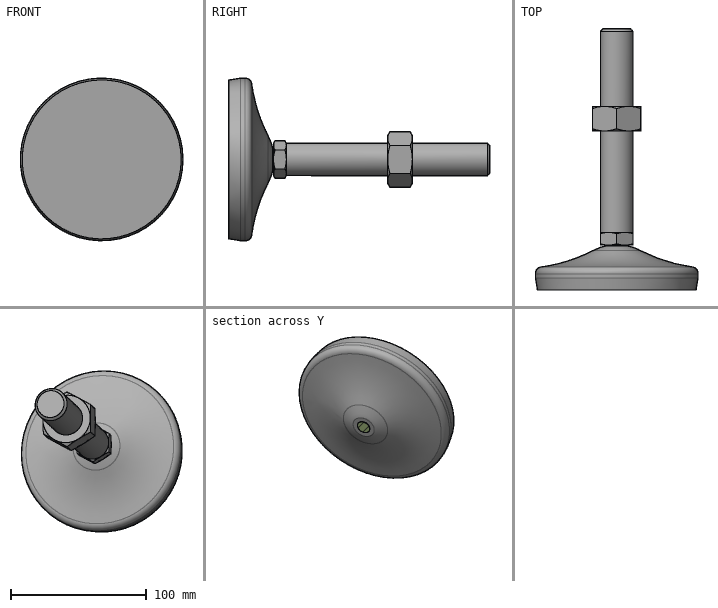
import cadquery as cq
import math

total_length = 192.5
rod_diameter = 24.0
rod_end_chamfer = 2.0

pad_radius = 120.0 / 2
pad_bottom_radius = 58.5
pad_taper_height = 8.9
pad_band_top = 12.0
rim_inner_radius = 55.6
rim_top = 17.1
rim_round_middle = (58.7, 15.5)
cone_middle = (35.5, 21.8)
dome_edge = (17.7, 29.0)
dome_middle = (13.5, 31.09)
dome_top_radius = 8.5
dome_top = 32.5

neck_diameter = 10.0
foot_hex_bottom = 33.1
foot_hex_height = 9.5
foot_hex_flats = rod_diameter

nut_bottom = 117.2
nut_height = 18.0
nut_flats = 35.6

hex_chamfer_angle = 30.0
CORNER_RATIO = 2 / math.sqrt(3)


def cylinder(diameter, start, end):
    """Cylinder on the Y axis between two Y positions."""
    return cq.Workplane("XZ", origin=(0, start, 0)).circle(diameter / 2).extrude(start - end)


def chamfered_hexagon(flats, start, height):
    """Hexagon on the Y axis, flats facing X, with conically cut corners."""
    prism = (
        cq.Workplane("XZ", origin=(0, start, 0))
        .transformed(rotate=(0, 0, 90))
        .polygon(6, flats * CORNER_RATIO)
        .extrude(-height)
    )
    flat_radius = flats / 2
    corner_radius = flat_radius * CORNER_RATIO
    drop = (corner_radius - flat_radius) * math.tan(math.radians(hex_chamfer_angle))
    end = start + height
    envelope = (
        cq.Workplane("XY")
        .moveTo(0, start)
        .lineTo(flat_radius, start)
        .lineTo(corner_radius, start + drop)
        .lineTo(corner_radius, end - drop)
        .lineTo(flat_radius, end)
        .lineTo(0, end)
        .close()
        .revolve(360, (0, 0, 0), (0, 1, 0))
    )
    return prism.intersect(envelope)


def make_pad():
    """Revolved pad: tapered base, rounded rim, hollow flank and domed crown."""
    return (
        cq.Workplane("XY")
        .lineTo(pad_bottom_radius, 0)
        .lineTo(pad_radius, pad_taper_height)
        .lineTo(pad_radius, pad_band_top)
        .threePointArc(rim_round_middle, (rim_inner_radius, rim_top))
        .threePointArc(cone_middle, dome_edge)
        .threePointArc(dome_middle, (dome_top_radius, dome_top))
        .lineTo(0, dome_top)
        .close()
        .revolve(360, (0, 0, 0), (0, 1, 0))
    )


def make_rod():
    """Plain rod above the foot hexagon, chamfered at its free end."""
    rod_start = foot_hex_bottom + foot_hex_height
    rod = cylinder(rod_diameter, rod_start, total_length)
    return rod.faces(">Y").chamfer(rod_end_chamfer)


neck = cylinder(neck_diameter, dome_top, foot_hex_bottom)
foot_hexagon = chamfered_hexagon(foot_hex_flats, foot_hex_bottom, foot_hex_height)
nut = chamfered_hexagon(nut_flats, nut_bottom, nut_height)

result = make_pad().union(neck).union(foot_hexagon).union(make_rod()).union(nut)